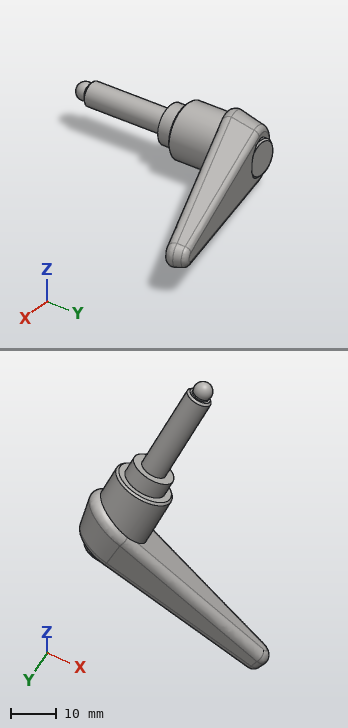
import cadquery as cq
import math


COLLAR_RADIUS = 5.0
COLLAR_LENGTH = 4.0
SHANK_RADIUS = 4.55
BUTTON_TOP = 24.3
BUTTON_CHAMFER = 0.4
STUD_RADIUS = 3.0
STUD_LENGTH = 21.5
STUD_CHAMFER = 0.5
NECK_RADIUS = 2.0
BALL_RADIUS = 2.2
TIP_LENGTH = 24.98

HUB_RADIUS = 7.0
HUB_CHAMFER = 0.5
HUB_TOP = 17.0
ARM_LENGTH = 47.25
ARM_BOTTOM = 8.0
ARM_TOP = 40.0
DRAFT_ANGLE = 11.5
ROOT_RADIUS_AT_BOTTOM = 9.8
SIDE_LEAN = 2.75
TIP_SETBACK_ANGLE = 12.0
UPPER_FACE_ANGLE = 15.0
UPPER_FACE_HEIGHT = 23.6
LOWER_FACE_ANGLE = 20.0
LOWER_FACE_HEIGHT = 13.8
UPPER_FILLET = 1.5
LOWER_FILLET = 2.0


def turned(profile):
    """Solid of revolution about the Y axis from (x, y) points on its -X side."""
    return profile.close().revolve(360, (0, 0, 0), (0, 1, 0))


def arm_section(y):
    """Outline of the drafted arm at height y: two arcs joined by their common tangents."""
    rise = y - ARM_BOTTOM
    sine = math.sin(math.radians(SIDE_LEAN))
    cosine = math.cos(math.radians(SIDE_LEAN))
    root = ROOT_RADIUS_AT_BOTTOM - rise * math.tan(math.radians(DRAFT_ANGLE))
    tip_centre = ARM_LENGTH - rise * math.tan(math.radians(TIP_SETBACK_ANGLE))
    tip = root - tip_centre * sine
    return (
        cq.Workplane("XZ", origin=(0, y, 0))
        .moveTo(root * sine, root * cosine)
        .lineTo(tip_centre + tip * sine, tip * cosine)
        .threePointArc((tip_centre + tip, 0), (tip_centre + tip * sine, -tip * cosine))
        .lineTo(root * sine, -root * cosine)
        .threePointArc((-root, 0), (root * sine, root * cosine))
        .close()
        .val()
    )


def between_faces():
    """Slab bounded by the sloping lower and upper faces of the lever."""
    margin = 2 * HUB_RADIUS
    left = -margin
    right = ARM_LENGTH + margin
    lower_slope = math.tan(math.radians(LOWER_FACE_ANGLE))
    upper_slope = math.tan(math.radians(UPPER_FACE_ANGLE))
    return (
        cq.Workplane("XY")
        .polyline([
            (left, LOWER_FACE_HEIGHT + left * lower_slope),
            (right, LOWER_FACE_HEIGHT + right * lower_slope),
            (right, UPPER_FACE_HEIGHT + right * upper_slope),
            (left, UPPER_FACE_HEIGHT + left * upper_slope),
        ])
        .close()
        .extrude(margin, both=True)
    )


def face_edges(body, angle, side):
    """Edges of the flat face rising toward +X; side is 1 for the upper face, -1 for the lower."""
    slope = math.radians(angle)
    normal = cq.Vector(-side * math.sin(slope), side * math.cos(slope), 0)
    return body.faces(cq.selectors.ParallelDirSelector(normal)).edges()


def make_lever():
    """Tapered arm with rounded edges, a round hub below it and a through bore."""
    arm = cq.Workplane(cq.Solid.makeLoft([arm_section(ARM_BOTTOM), arm_section(ARM_TOP)], True))
    arm = arm.intersect(between_faces())
    arm = face_edges(arm, LOWER_FACE_ANGLE, -1).fillet(LOWER_FILLET)
    arm = face_edges(arm, UPPER_FACE_ANGLE, 1).fillet(UPPER_FILLET)
    hub = turned(
        cq.Workplane("XY")
        .moveTo(0, COLLAR_LENGTH)
        .lineTo(HUB_CHAMFER - HUB_RADIUS, COLLAR_LENGTH)
        .lineTo(-HUB_RADIUS, COLLAR_LENGTH + HUB_CHAMFER)
        .lineTo(-HUB_RADIUS, HUB_TOP)
        .lineTo(0, HUB_TOP)
    )
    bore = cq.Workplane("XZ").circle(SHANK_RADIUS).extrude(-ARM_TOP)
    return arm.union(hub).cut(bore)


def make_insert():
    """Turned insert that fills the lever bore and carries the collar, stud and ball tip."""
    ball_centre = BALL_RADIUS - TIP_LENGTH
    neck_end = ball_centre + math.sqrt(BALL_RADIUS**2 - NECK_RADIUS**2)
    return turned(
        cq.Workplane("XY")
        .moveTo(0, BUTTON_TOP)
        .lineTo(BUTTON_CHAMFER - SHANK_RADIUS, BUTTON_TOP)
        .lineTo(-SHANK_RADIUS, BUTTON_TOP - BUTTON_CHAMFER)
        .lineTo(-SHANK_RADIUS, COLLAR_LENGTH)
        .lineTo(-COLLAR_RADIUS, COLLAR_LENGTH)
        .lineTo(-COLLAR_RADIUS, 0)
        .lineTo(-STUD_RADIUS, 0)
        .lineTo(-STUD_RADIUS, STUD_CHAMFER - STUD_LENGTH)
        .lineTo(STUD_CHAMFER - STUD_RADIUS, -STUD_LENGTH)
        .lineTo(-NECK_RADIUS, -STUD_LENGTH)
        .lineTo(-NECK_RADIUS, neck_end)
        .threePointArc((-BALL_RADIUS, ball_centre), (0, -TIP_LENGTH))
    )


lever = make_lever()
insert = make_insert()
result = cq.Compound.makeCompound([lever.val(), insert.val()])